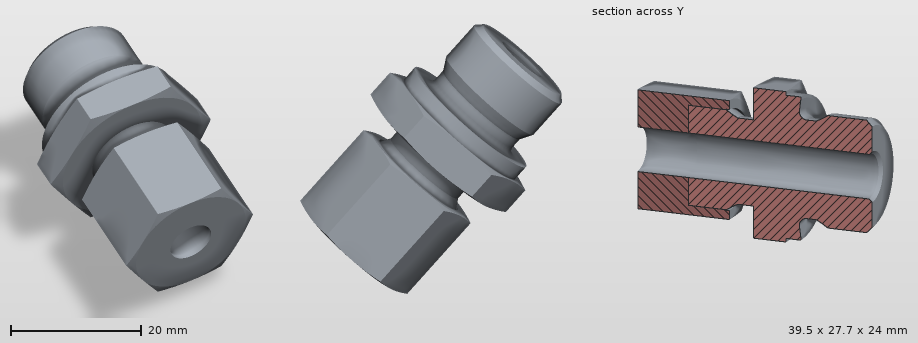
import cadquery as cq
import math


LENGTH = 39.5
STUD_END = 7.45
GROOVE_START = 9.45
COLLAR_START = 12.0
HEX_START = 14.5
HEX_END = 20.03
NECK_END = 22.67
NUT_START = 24.0
TAIL_END = 31.0

STUD_RADIUS = 9.0
GROOVE_RADIUS = 7.9
COLLAR_RADIUS = 11.45
DISH_RADIUS = 10.95
DISH_FLOOR_RADIUS = 9.2
NECK_RADIUS = 6.9
TAIL_RADIUS = 8.0
BORE_RADIUS = 3.5

STUD_CHAMFER = 1.0
BORE_CHAMFER = 0.5
DISH_ANGLE = 7.5
HEX_CHAMFER_ANGLE = 15.0
NECK_TAPER_ANGLE = 30.0

BODY_FLATS = 24.0
NUT_FLATS = 19.0


def revolve_about_x(profile):
    """Close a half profile in the XY plane and turn it around the X axis."""
    return profile.close().revolve(360, (0, 0, 0), (1, 0, 0))


def hexagon(flats, start, end):
    """Hexagonal prism along X with corners on the Y axis and both ends chamfered."""
    across_corners = flats / math.cos(math.radians(30))
    prism = cq.Workplane("YZ").workplane(offset=start).polygon(6, across_corners).extrude(end - start)

    corner = across_corners / 2
    inner = flats / 2
    depth = (corner - inner) * math.tan(math.radians(HEX_CHAMFER_ANGLE))
    blank = revolve_about_x(
        cq.Workplane("XY")
        .moveTo(start, 0)
        .lineTo(start, inner)
        .lineTo(start + depth, corner)
        .lineTo(end - depth, corner)
        .lineTo(end, inner)
        .lineTo(end, 0)
    )
    return prism.intersect(blank)


def cylinder(radius, start, end):
    """Cylinder along X."""
    return cq.Workplane("YZ").workplane(offset=start).circle(radius).extrude(end - start)


def make_fitting():
    """Stud, dished collar, hexagon and tail of the fitting, with one bore through all."""
    taper = math.tan(math.radians(NECK_TAPER_ANGLE))
    taper_end = NECK_END + (TAIL_RADIUS - NECK_RADIUS) / taper

    dish_angle = math.radians(DISH_ANGLE)
    dish_floor = COLLAR_START + (DISH_RADIUS - DISH_FLOOR_RADIUS) * math.tan(dish_angle)
    fillet = (DISH_FLOOR_RADIUS - GROOVE_RADIUS) / (1 + math.sin(dish_angle))
    groove_end = dish_floor - fillet * math.cos(dish_angle)
    fillet_middle = (
        groove_end + fillet * math.sin(math.radians(45)),
        GROOVE_RADIUS + fillet * (1 - math.cos(math.radians(45))),
    )

    turned = revolve_about_x(
        cq.Workplane("XY")
        .moveTo(0, 0)
        .lineTo(0, STUD_RADIUS - STUD_CHAMFER)
        .lineTo(STUD_CHAMFER, STUD_RADIUS)
        .lineTo(STUD_END, STUD_RADIUS)
        .lineTo(GROOVE_START, GROOVE_RADIUS)
        .lineTo(groove_end, GROOVE_RADIUS)
        .threePointArc(fillet_middle, (dish_floor, DISH_FLOOR_RADIUS))
        .lineTo(COLLAR_START, DISH_RADIUS)
        .lineTo(COLLAR_START, COLLAR_RADIUS)
        .lineTo(HEX_START, COLLAR_RADIUS)
        .lineTo(HEX_START, NECK_RADIUS)
        .lineTo(NECK_END, NECK_RADIUS)
        .lineTo(taper_end, TAIL_RADIUS)
        .lineTo(TAIL_END, TAIL_RADIUS)
        .lineTo(TAIL_END, 0)
    )
    mouth_radius = BORE_RADIUS + BORE_CHAMFER
    bore = revolve_about_x(
        cq.Workplane("XY")
        .moveTo(0, 0)
        .lineTo(0, mouth_radius)
        .lineTo(BORE_CHAMFER, BORE_RADIUS)
        .lineTo(TAIL_END, BORE_RADIUS)
        .lineTo(TAIL_END, 0)
    )
    return turned.union(hexagon(BODY_FLATS, HEX_START, HEX_END)).cut(bore)


def make_nut():
    """Union nut with a recess that holds the tail, and the bore carried on to its far end."""
    recess = cylinder(TAIL_RADIUS, NUT_START, TAIL_END)
    bore = cylinder(BORE_RADIUS, TAIL_END, LENGTH)
    return hexagon(NUT_FLATS, NUT_START, LENGTH).cut(recess).cut(bore)


fitting = make_fitting()
nut = make_nut()

result = cq.Compound.makeCompound([fitting.val(), nut.val()])